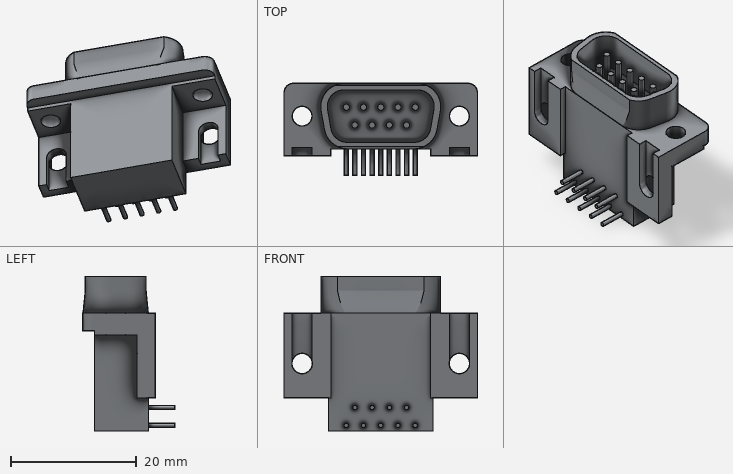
import cadquery as cq
import math


flange_width = 30.81
flange_back = 5.25
flange_thickness = 3.44
flange_corner_radius = 1.6
rear_step_y = 3.38
rear_thickness = 2.8

housing_width = 16.67
housing_front = -5.25
housing_bottom = -18.74

foot_front = -6.3
foot_thickness = 2.9
foot_inner_x = 7.94
foot_bottom = -13.47

screw_x = 12.5
flange_hole_diameter = 3.1
foot_hole_diameter = 3.2
foot_hole_z = -8.0
slot_depth = 1.35

shell_height = 5.85
shell_half_depth = 5.20
shell_half_width = 9.53
shell_corner_radius = 3.7
shell_side_angle = 10.0
flat_half_depth = 4.85
flat_bottom_z = 3.54
shell_wall = 1.03
cavity_floor_z = -0.65

pin_pitch = 2.74
row_offset = 1.42
mating_pin_diameter = 1.0
mating_pin_top = 4.5
solder_pin_diameter = 0.7
overall_depth = 14.66
solder_pin_tip = flange_back - overall_depth
contact_rows = [
    (5, row_offset, -17.84),
    (4, -row_offset, -15.0),
]


def box(x0, x1, y0, y1, z0, z1):
    """Box between two opposite corners."""
    return cq.Workplane("XY").box(x1 - x0, y1 - y0, z1 - z0, centered=False).translate((x0, y0, z0))


def d_prism(half_width, half_depth, radius, z0, z1):
    """D-shaped prism, wide at the rear, with rounded corners."""
    lean = math.radians(shell_side_angle)
    arc_x = half_width - radius
    arc_y = half_depth - radius
    side_x = arc_x + radius / math.cos(lean)
    rear_x = side_x + radius * math.tan(lean)
    front_x = side_x - (half_depth + arc_y) * math.tan(lean)
    corners = [
        (-rear_x, half_depth),
        (rear_x, half_depth),
        (front_x, -half_depth),
        (-front_x, -half_depth),
    ]
    prism = cq.Workplane("XY").workplane(offset=z0).polyline(corners).close().extrude(z1 - z0)
    return prism.edges("|Z").fillet(radius)


def make_flange():
    half = flange_width / 2
    rear = box(-half, half, housing_front, flange_back, -rear_thickness, 0)
    rear = rear.edges("|Z and >Y").fillet(flange_corner_radius)
    thick = box(-half, half, housing_front, rear_step_y, -flange_thickness, 0)
    return rear.union(thick)


def make_housing():
    half = housing_width / 2
    return box(-half, half, housing_front, rear_step_y, housing_bottom, 0)


def make_feet():
    foot = box(foot_inner_x, flange_width / 2, foot_front, foot_front + foot_thickness, foot_bottom, 0)
    return foot.union(foot.mirror("YZ"))


def make_shell():
    shell = d_prism(shell_half_width, shell_half_depth, shell_corner_radius, 0, shell_height)
    profile = [
        (-shell_half_depth, 0),
        (shell_half_depth, 0),
        (flat_half_depth, flat_bottom_z),
        (flat_half_depth, shell_height),
        (-flat_half_depth, shell_height),
        (-flat_half_depth, flat_bottom_z),
    ]
    envelope = cq.Workplane("YZ").polyline(profile).close().extrude(shell_half_width, both=True)
    return shell.intersect(envelope)


def make_cavity():
    return d_prism(
        shell_half_width - shell_wall,
        shell_half_depth - shell_wall,
        shell_corner_radius - shell_wall,
        cavity_floor_z,
        shell_height,
    )


def cut_flange_hole(body, x):
    hole = cq.Workplane("XY").center(x, 0).circle(flange_hole_diameter / 2).extrude(-flange_thickness)
    return body.cut(hole)


def cut_foot_hole(body, x):
    """Hole through the foot, with a slot up from it at the front and one down from it at the back."""
    radius = foot_hole_diameter / 2
    foot_back = foot_front + foot_thickness
    slot_floor = foot_front + slot_depth
    hole = cq.Workplane("XZ", origin=(x, foot_front, foot_hole_z)).circle(radius).extrude(-foot_thickness)
    front_slot = box(x - radius, x + radius, foot_front, slot_floor, foot_hole_z, 0)
    back_slot = box(x - radius, x + radius, slot_floor, foot_back, foot_bottom, foot_hole_z)
    return body.cut(hole).cut(front_slot).cut(back_slot)


def add_contacts(body):
    for count, mating_y, solder_z in contact_rows:
        for index in range(count):
            x = (index - (count - 1) / 2) * pin_pitch
            mating_pin = (
                cq.Workplane("XY", origin=(x, mating_y, cavity_floor_z))
                .circle(mating_pin_diameter / 2)
                .extrude(mating_pin_top - cavity_floor_z)
            )
            solder_pin = (
                cq.Workplane("XZ", origin=(x, housing_front, solder_z))
                .circle(solder_pin_diameter / 2)
                .extrude(housing_front - solder_pin_tip)
            )
            body = body.union(mating_pin).union(solder_pin)
    return body


body = make_flange().union(make_housing()).union(make_feet()).union(make_shell())
body = body.cut(make_cavity())
for screw_side in (-1, 1):
    body = cut_flange_hole(body, screw_side * screw_x)
    body = cut_foot_hole(body, screw_side * screw_x)
result = add_contacts(body)